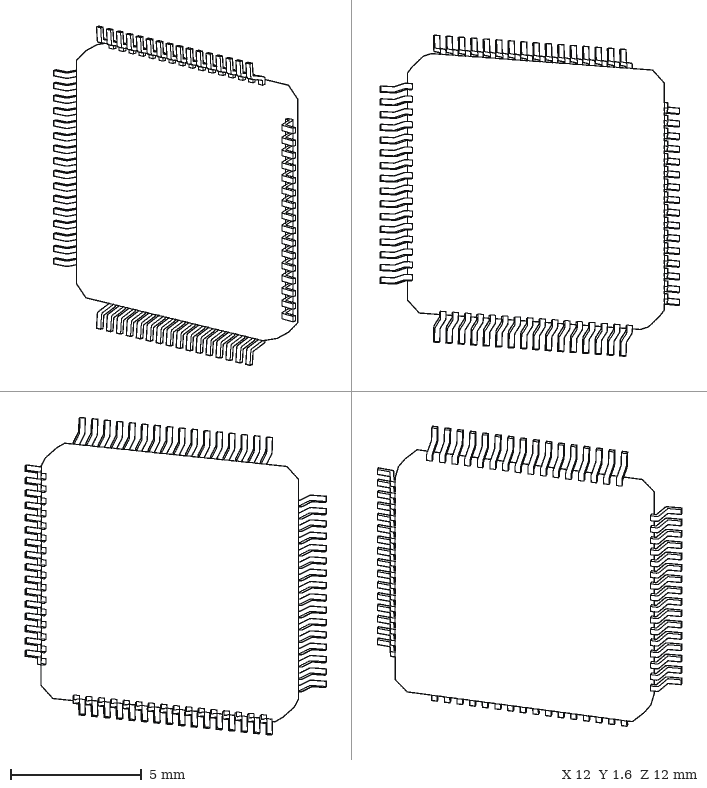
import cadquery as cq
import math


tip_span = 12.02
total_height = 1.6
standoff = 0.05

body_side = 10.0
corner_cut = 0.48
draft_angle = 5.0
edge_radius = 0.06
body_half = (total_height - standoff) / 2
parting_height = standoff + body_half

leads_per_side = 16
row_span = 7.5
lead_pitch = row_span / (leads_per_side - 1)
lead_width = 0.22
lead_thickness = 0.15
foot_length = 0.63
foot_angle = 5.0
leg_angle = 74.0
inner_bend_radius = 0.02
outer_bend_radius = 0.11
lead_overlap = 0.12
lead_reach = (tip_span - body_side) / 2 + lead_overlap


def make_half():
    """Half of the body: its parting face at Z = 0, tapering up to a rounded flat face."""
    sloping_edges = "not #Z"
    half = (
        cq.Workplane("XY")
        .rect(body_side, body_side)
        .extrude(body_half, taper=draft_angle)
    )
    half = half.edges(sloping_edges).chamfer(corner_cut)
    half = half.edges(sloping_edges).fillet(edge_radius)
    return half.faces(">Z").edges().fillet(edge_radius)


def make_body():
    """Two equal halves meeting at the parting plane."""
    half = make_half()
    near_half = half.rotate((0, 0, 0), (1, 0, 0), 90)
    far_half = half.rotate((0, 0, 0), (1, 0, 0), -90)
    return near_half.union(far_half).translate((0, parting_height, 0))


def upper_corner(corner, angle_before, angle_after):
    """Point of the upper lead surface facing a corner of the lower surface."""
    middle = math.radians((angle_before + angle_after) / 2)
    half_turn = math.radians((angle_after - angle_before) / 2)
    reach = lead_thickness / math.cos(half_turn)
    return (corner[0] - reach * math.sin(middle), corner[1] + reach * math.cos(middle))


def make_lead():
    """One lead on the -X side, centred on Z = 0."""
    tip = -tip_span / 2
    root = tip + lead_reach
    underside = parting_height - lead_thickness / 2
    heel_height = foot_length * math.tan(math.radians(foot_angle))
    leg_run = (underside - heel_height) / math.tan(math.radians(leg_angle))

    heel = (tip + foot_length, heel_height)
    shoulder = (heel[0] + leg_run, underside)
    upper_heel = upper_corner(heel, foot_angle, leg_angle)
    upper_shoulder = upper_corner(shoulder, leg_angle, 0)
    tip_top = lead_thickness / math.cos(math.radians(foot_angle))

    lead = (
        cq.Workplane("XY")
        .polyline([
            (tip, 0),
            heel,
            shoulder,
            (root, underside),
            (root, underside + lead_thickness),
            upper_shoulder,
            upper_heel,
            (tip, tip_top),
        ])
        .close()
        .extrude(lead_width / 2, both=True)
    )
    bends = (
        (heel, outer_bend_radius),
        (upper_heel, inner_bend_radius),
        (shoulder, inner_bend_radius),
        (upper_shoulder, outer_bend_radius),
    )
    for corner, radius in bends:
        lead = lead.edges("|Z").edges(cq.NearestToPointSelector((*corner, 0))).fillet(radius)
    return lead


def make_leads():
    """A row of leads on each of the four sides."""
    lead = make_lead().val()
    leads = []
    for index in range(leads_per_side):
        placed = lead.translate(cq.Vector(0, 0, index * lead_pitch - row_span / 2))
        for turn in (0, 90, 180, 270):
            leads.append(placed.rotate(cq.Vector(0, 0, 0), cq.Vector(0, 1, 0), turn))
    return leads


result = cq.Workplane(make_body().val().fuse(*make_leads()))